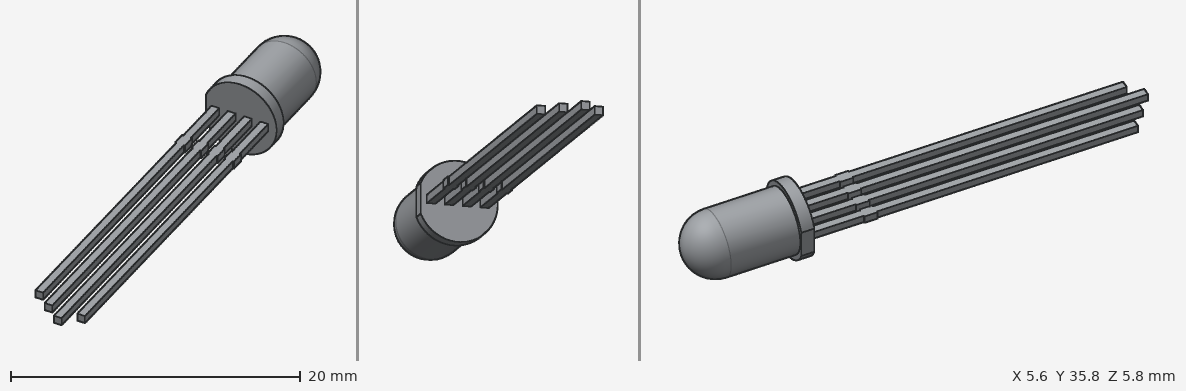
import cadquery as cq


lens_radius = 2.5
flange_radius = 2.9
flange_thickness = 1.0
flat_offset = 2.7
total_length = 35.8
longest_lead = 27.0
lens_height = total_length - longest_lead
dome_start = lens_height - lens_radius

lead_thickness = 0.6
lead_pitch = 1.3
lead_length_step = 1.0
lead_lengths = [
    longest_lead - 2 * lead_length_step,
    longest_lead - lead_length_step,
    longest_lead,
    longest_lead - lead_length_step,
]

stop_width = 0.8
stop_length = 1.0
stop_distance = 4.0


def make_lens():
    """Domed lens with a round flange that is cut flat on its -X side."""
    dome_middle = lens_radius * 0.5 ** 0.5
    dome_and_barrel = (
        cq.Workplane("XY")
        .lineTo(lens_radius, 0)
        .lineTo(lens_radius, dome_start)
        .threePointArc((dome_middle, dome_start + dome_middle), (0, lens_height))
        .close()
        .revolve(360, (0, 0), (0, 1))
    )
    flange = cq.Workplane("XZ").circle(flange_radius).extrude(-flange_thickness)
    flat_keeper = cq.Workplane("XY").box(
        flat_offset + flange_radius,
        flange_thickness,
        2 * flange_radius,
        centered=(False, False, True),
    ).translate((-flat_offset, 0, 0))
    return dome_and_barrel.union(flange.intersect(flat_keeper))


def make_lead(x, length):
    """Square lead that starts on the flange underside and runs toward -Y."""
    stem = cq.Workplane("XY").box(
        lead_thickness, length, lead_thickness
    ).translate((x, -length / 2, 0))
    stop = cq.Workplane("XY").box(
        stop_width, stop_length, lead_thickness
    ).translate((x, -stop_distance - stop_length / 2, 0))
    return stem.union(stop)


lens = make_lens()

leads = []
row_middle = (len(lead_lengths) - 1) / 2
for index, length in enumerate(lead_lengths):
    lead_x = (index - row_middle) * lead_pitch
    leads.append(make_lead(lead_x, length).val())

result = cq.Compound.makeCompound([lens.val(), *leads])